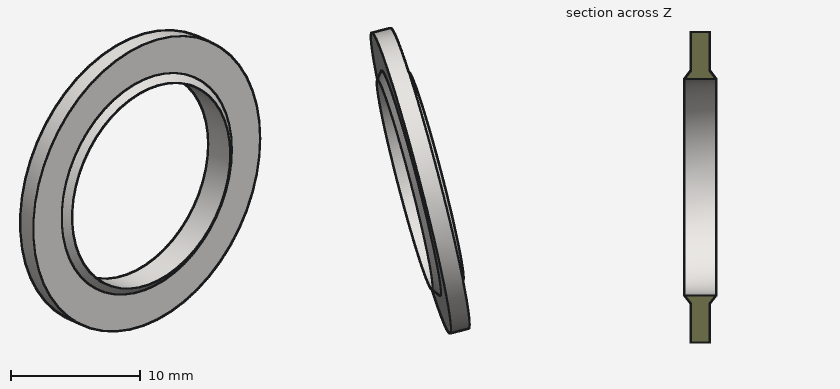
import cadquery as cq

outer_diameter = 24.0
bore_diameter = 16.7
lip_base_diameter = 18.0
flange_thickness = 1.5
overall_thickness = 2.5

outer_radius = outer_diameter / 2
bore_radius = bore_diameter / 2
lip_base_radius = lip_base_diameter / 2
flange_half = flange_thickness / 2
overall_half = overall_thickness / 2


def make_ring():
    """Flat ring with a conical lip on each face, tapering to a sharp edge at the bore."""
    half_section = [
        (-overall_half, bore_radius),
        (-flange_half, lip_base_radius),
        (-flange_half, outer_radius),
        (flange_half, outer_radius),
        (flange_half, lip_base_radius),
        (overall_half, bore_radius),
    ]
    return (
        cq.Workplane("XY")
        .polyline(half_section)
        .close()
        .revolve(360, (0, 0, 0), (1, 0, 0))
    )


result = make_ring()